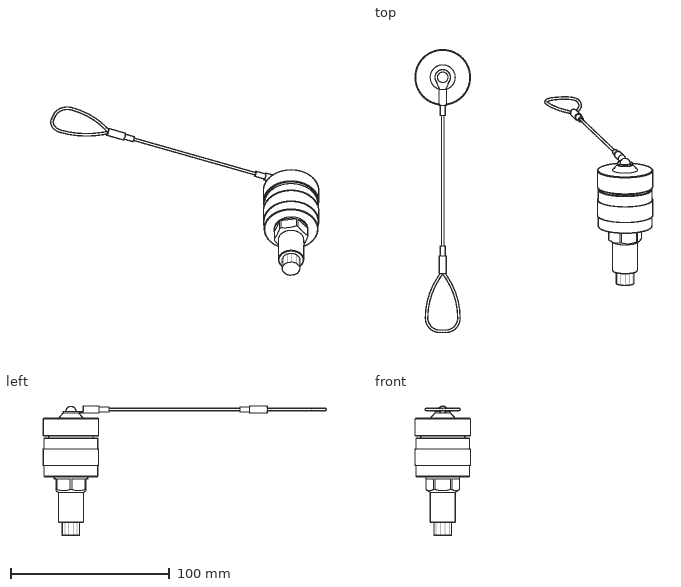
import cadquery as cq
import math


overall_length = 178.5
overall_height = 81.69

tail_dia = 11.3
tail_across_flats = 11.0
tail_height = 8.1

barrel_dia = 16.0
barrel_edge = 0.4
barrel_top_z = 27.1
nut_across_flats = 19.0
nut_dia = 21.3
nut_cone_angle = math.radians(35)
nut_cone_height = (nut_dia - barrel_dia) / 2 * math.tan(nut_cone_angle)
collar_z = 35.6

sleeve_bottom_z = 36.9
sleeve_top_z = 61.4
sleeve_dia = 34.0
sleeve_edge = 0.4
band_dia = 35.05
band_bottom_z = 44.2
band_top_z = 54.4
neck_dia = 28.0

cap_dia = band_dia
cap_bottom_z = 62.5
cap_top_z = 73.9
cap_edge = 0.5
boss_base_dia = 15.8
boss_top_dia = 9.6
boss_top_z = 77.3

wire_dia = 1.7
crimp_dia = 4.6
crimp_step_dia = 3.4
lanyard_z = overall_height - crimp_dia / 2

lug_thickness = 0.9
lug_eye_dia = 9.8
lug_tail_width = 3.9
lug_crimp_start = 7.6
lug_crimp_step = 17.7
lug_crimp_end = 24.1

rivet_head_dia = 6.6
rivet_shank_dia = 4.0
rivet_top_z = 81.4

ferrule_start = 106.4
ferrule_step = 112.6
ferrule_end = 123.8

loop_far_end = overall_length - cap_dia / 2 - wire_dia / 2
loop_half_width = 10.2
loop_end_radius = 8.4
loop_widest = loop_far_end - loop_end_radius
loop_leg_angle = math.radians(33.5)
loop_trim = 1.5


def bar(dia, bottom_z, top_z):
    return cq.Workplane("XY").workplane(offset=bottom_z).circle(dia / 2).extrude(top_z - bottom_z)


def lanyard_bar(dia, start, end):
    """Round bar along the lanyard axis, between two distances from the plug axis."""
    plane = cq.Plane(origin=(0, -start, lanyard_z), xDir=(1, 0, 0), normal=(0, -1, 0))
    return cq.Workplane(plane).circle(dia / 2).extrude(end - start)


def hex_bar(across_flats, bottom_z, top_z):
    """Hexagonal bar with two of its flats facing -Y and +Y."""
    corner_dia = across_flats / math.cos(math.radians(30))
    return cq.Workplane("XY").workplane(offset=bottom_z).polygon(6, corner_dia).extrude(top_z - bottom_z)


def make_tail():
    return bar(tail_dia, 0, tail_height).intersect(hex_bar(tail_across_flats, 0, tail_height))


def make_backshell():
    barrel = bar(barrel_dia, tail_height, barrel_top_z).faces("<Z").chamfer(barrel_edge)
    nut_blank = (
        cq.Workplane("XZ")
        .moveTo(0, barrel_top_z)
        .lineTo(barrel_dia / 2, barrel_top_z)
        .lineTo(nut_dia / 2, barrel_top_z + nut_cone_height)
        .lineTo(nut_dia / 2, collar_z)
        .lineTo(0, collar_z)
        .close()
        .revolve(360, (0, 0), (0, 1))
    )
    nut = nut_blank.intersect(hex_bar(nut_across_flats, barrel_top_z, collar_z))
    collar = bar(nut_dia, collar_z, sleeve_bottom_z)
    return barrel.union(nut).union(collar)


def make_plug_body():
    sleeve = bar(sleeve_dia, sleeve_bottom_z, sleeve_top_z).faces("<Z or >Z").chamfer(sleeve_edge)
    band = bar(band_dia, band_bottom_z, band_top_z)
    neck = bar(neck_dia, sleeve_top_z, cap_bottom_z)
    return sleeve.union(band).union(neck)


def make_cap():
    disc = bar(cap_dia, cap_bottom_z, cap_top_z).faces("<Z or >Z").chamfer(cap_edge)
    boss = (
        cq.Workplane("XY")
        .workplane(offset=cap_top_z)
        .circle(boss_base_dia / 2)
        .workplane(offset=boss_top_z - cap_top_z)
        .circle(boss_top_dia / 2)
        .loft(ruled=True)
    )
    return disc.union(boss)


def make_rivet():
    head_bottom_z = boss_top_z + lug_thickness
    head_height = rivet_top_z - head_bottom_z
    head_radius = rivet_head_dia / 2
    dome_radius = (head_radius**2 + head_height**2) / (2 * head_height)
    dome_center_z = rivet_top_z - dome_radius
    rim_angle = math.atan2(head_bottom_z - dome_center_z, head_radius)
    middle_angle = (rim_angle + math.pi / 2) / 2
    return (
        cq.Workplane("XZ")
        .moveTo(0, boss_top_z)
        .lineTo(rivet_shank_dia / 2, boss_top_z)
        .lineTo(rivet_shank_dia / 2, head_bottom_z)
        .lineTo(head_radius, head_bottom_z)
        .threePointArc(
            (dome_radius * math.cos(middle_angle), dome_center_z + dome_radius * math.sin(middle_angle)),
            (0, rivet_top_z),
        )
        .close()
        .revolve(360, (0, 0), (0, 1))
    )


def make_lug():
    eye_radius = lug_eye_dia / 2
    tail_half = lug_tail_width / 2
    tail_y = -lug_crimp_start
    tail_angle = math.atan2(tail_y, tail_half)
    tangent_angle = tail_angle + math.acos(eye_radius / math.hypot(tail_half, tail_y))
    tangent_x = eye_radius * math.cos(tangent_angle)
    tangent_y = eye_radius * math.sin(tangent_angle)
    plate = (
        cq.Workplane("XY")
        .workplane(offset=boss_top_z)
        .moveTo(tail_half, tail_y)
        .lineTo(tangent_x, tangent_y)
        .threePointArc((0, eye_radius), (-tangent_x, tangent_y))
        .lineTo(-tail_half, tail_y)
        .close()
        .extrude(lug_thickness)
    )
    rivet_hole = bar(rivet_shank_dia, boss_top_z, boss_top_z + lug_thickness)
    sleeve = lanyard_bar(crimp_dia, lug_crimp_start, lug_crimp_step)
    step = lanyard_bar(crimp_step_dia, lug_crimp_step, lug_crimp_end)
    return plate.cut(rivet_hole).union(sleeve).union(step)


def make_rope():
    return lanyard_bar(wire_dia, lug_crimp_end, ferrule_start)


def make_end_ferrule():
    step = lanyard_bar(crimp_step_dia, ferrule_start, ferrule_step)
    sleeve = lanyard_bar(crimp_dia, ferrule_step, ferrule_end)
    return step.union(sleeve)


def make_loop():
    wire_radius = wire_dia / 2
    leg_sin = math.sin(loop_leg_angle)
    leg_cos = math.cos(loop_leg_angle)
    half_angle = loop_leg_angle / 2
    leg_and_tangent = (loop_half_width - wire_radius) / leg_sin
    side_tangent = loop_widest - ferrule_end - leg_and_tangent * leg_cos
    side_radius = side_tangent / math.tan(half_angle)
    leg_length = leg_and_tangent - side_tangent
    start_x = wire_radius - loop_trim * leg_sin
    start_y = -ferrule_end + loop_trim * leg_cos
    side_middle = (
        loop_half_width - side_radius * (1 - math.cos(half_angle)),
        -loop_widest + side_radius * math.sin(half_angle),
    )
    end_x = loop_half_width - loop_end_radius
    end_middle = (
        end_x + loop_end_radius * math.sqrt(0.5),
        -loop_widest - loop_end_radius * math.sqrt(0.5),
    )
    path = (
        cq.Workplane("XY", origin=(0, 0, lanyard_z))
        .moveTo(start_x, start_y)
        .lineTo(wire_radius + leg_length * leg_sin, -ferrule_end - leg_length * leg_cos)
        .threePointArc(side_middle, (loop_half_width, -loop_widest))
        .threePointArc(end_middle, (end_x, -loop_far_end))
        .lineTo(0, -loop_far_end)
    )
    start = cq.Plane(
        origin=(start_x, start_y, lanyard_z),
        xDir=(leg_cos, leg_sin, 0),
        normal=(leg_sin, -leg_cos, 0),
    )
    half = cq.Workplane(start).circle(wire_radius).sweep(path)
    ferrule_space = lanyard_bar(crimp_dia, ferrule_step, ferrule_end)
    return half.union(half.mirror("YZ")).cut(ferrule_space)


tail = make_tail()
backshell = make_backshell()
plug_body = make_plug_body()
cap = make_cap()
rivet = make_rivet()
lug = make_lug()
rope = make_rope()
end_ferrule = make_end_ferrule()
loop = make_loop()

result = cq.Compound.makeCompound(
    [
        tail.val(),
        backshell.val(),
        plug_body.val(),
        cap.val(),
        rivet.val(),
        lug.val(),
        rope.val(),
        end_ferrule.val(),
        loop.val(),
    ]
)